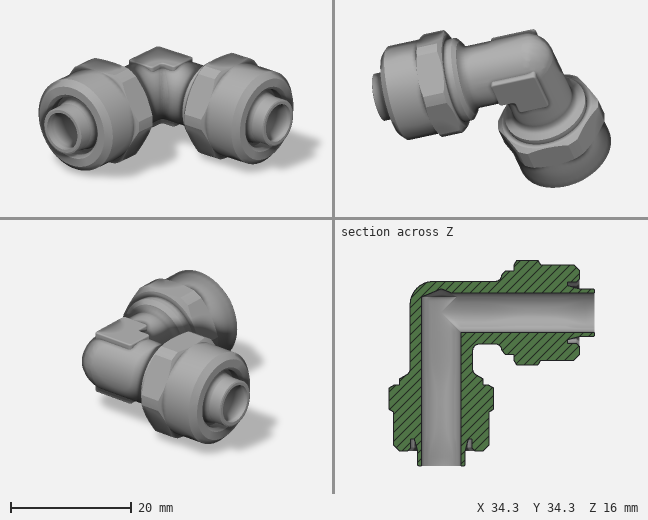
import cadquery as cq
import math


NUT_START = 12.0
HEX_END = 16.5
NUT_END = 23.0
ARM_LENGTH = 25.5

PIPE_R = 10.5 / 2
COLLAR_R = 14.0 / 2
NECK_FILLET = 1.0
X_COLLAR_START = 10.0
X_COLLAR_CHAMFER = 0.65
Y_COLLAR_START = 11.0
Y_NECK_CONE_SLOPE = 30.0
OUTER_BEND_R = 4.0
INNER_BEND_R = 1.0

NUT_R = 16.0 / 2
HEX_ACROSS_FLATS = 16.0
HEX_CORNER_R = 17.5 / 2
HEX_CHAMFER_ANGLE = 30.0
HEX_FACE_R = 7.85
NUT_CHAMFER = 1.0
NUT_MOUTH_R = 11.2 / 2
NUT_BORE_R = 10.15 / 2
NUT_MOUTH_CHAMFER = NUT_MOUTH_R - NUT_BORE_R

TAIL_R = 8.0 / 2
TAIL_ROOT_R = 9.1 / 2
TAIL_CONE_LENGTH = 2.0
TAIL_TIP_R = 7.5 / 2
TAIL_TIP_CHAMFER = 0.12
POCKET_FLOOR = NUT_END - TAIL_CONE_LENGTH

BORE_R = 6.5 / 2
DRILL_POINT_ANGLE = 135.0
DRILL_SHOULDER = 2.58

PAD_HALF_WIDTH = 2.6
PAD_REACH = 5.2
PAD_HEIGHT = 5.5
PAD_CORNER_R = 0.5
PAD_EDGE_R = 0.25

MITRE_DIRECTION = cq.Vector(1, -1, 0)


def revolve_about_x(profile):
    return profile.close().revolve(360, (0, 0, 0), (1, 0, 0))


def mirror_across_bend(shape):
    """Reflect a +X arm shape into the matching -Y arm shape."""
    return shape.mirror("XZ").rotate((0, 0, 0), (0, 0, 1), -90)


def pipe_profile(neck_start):
    """Start of a pipe outline, drawn from the axis up to the start of the neck fillet."""
    return (
        cq.Workplane("XZ")
        .moveTo(-PIPE_R, 0)
        .lineTo(-PIPE_R, PIPE_R)
        .lineTo(neck_start, PIPE_R)
    )


def neck_point(neck_start, turn):
    """Point on the neck fillet after the outline has turned by the given angle in degrees."""
    angle = math.radians(turn)
    return (
        neck_start + NECK_FILLET * math.sin(angle),
        PIPE_R + NECK_FILLET * (1 - math.cos(angle)),
    )


def finish_collar(profile, collar_start):
    """Close a pipe outline with the collar and revolve it."""
    return revolve_about_x(
        profile
        .lineTo(collar_start, COLLAR_R)
        .lineTo(NUT_START, COLLAR_R)
        .lineTo(NUT_START, 0)
    )


def x_arm_pipe():
    """Pipe whose quarter-round neck meets a chamfered collar."""
    neck_start = X_COLLAR_START - NECK_FILLET
    profile = pipe_profile(neck_start).threePointArc(
        neck_point(neck_start, 45), neck_point(neck_start, 90)
    )
    return finish_collar(profile, X_COLLAR_START + X_COLLAR_CHAMFER)


def y_arm_pipe():
    """Pipe whose neck runs tangentially into a cone; built along +X, then mirrored."""
    turn = 90 - Y_NECK_CONE_SLOPE
    fillet_length, fillet_end_r = neck_point(0, turn)
    cone_length = (COLLAR_R - fillet_end_r) * math.tan(math.radians(Y_NECK_CONE_SLOPE))
    neck_start = Y_COLLAR_START - cone_length - fillet_length
    profile = pipe_profile(neck_start).threePointArc(
        neck_point(neck_start, turn / 2), neck_point(neck_start, turn)
    )
    return mirror_across_bend(mitre(finish_collar(profile, Y_COLLAR_START)))


def mitre(pipe):
    """Cut a +X pipe along the vertical diagonal plane y = -x."""
    size = NUT_START
    keep = (
        cq.Workplane("XY")
        .polyline([(-size, size), (size, size), (size, -size)])
        .close()
        .extrude(size, both=True)
    )
    return pipe.intersect(keep)


def hexagon():
    slope = math.tan(math.radians(HEX_CHAMFER_ANGLE))
    start_chamfer = (HEX_CORNER_R - HEX_FACE_R) * slope
    end_chamfer = (HEX_CORNER_R - NUT_R) * slope
    envelope = revolve_about_x(
        cq.Workplane("XZ")
        .moveTo(NUT_START, 0)
        .lineTo(NUT_START, HEX_FACE_R)
        .lineTo(NUT_START + start_chamfer, HEX_CORNER_R)
        .lineTo(HEX_END - end_chamfer, HEX_CORNER_R)
        .lineTo(HEX_END, NUT_R)
        .lineTo(HEX_END, 0)
    )
    corner_diameter = HEX_ACROSS_FLATS / math.cos(math.pi / 6)
    prism = (
        cq.Workplane("YZ", origin=(NUT_START, 0, 0))
        .polygon(6, corner_diameter)
        .extrude(HEX_END - NUT_START)
    )
    return prism.intersect(envelope)


def nut_barrel_and_tail():
    return revolve_about_x(
        cq.Workplane("XZ")
        .moveTo(HEX_END, 0)
        .lineTo(HEX_END, NUT_R)
        .lineTo(NUT_END - NUT_CHAMFER, NUT_R)
        .lineTo(NUT_END, NUT_R - NUT_CHAMFER)
        .lineTo(NUT_END, NUT_MOUTH_R)
        .lineTo(NUT_END - NUT_MOUTH_CHAMFER, NUT_BORE_R)
        .lineTo(POCKET_FLOOR, NUT_BORE_R)
        .lineTo(POCKET_FLOOR, TAIL_ROOT_R)
        .lineTo(NUT_END, TAIL_R)
        .lineTo(ARM_LENGTH - TAIL_TIP_CHAMFER, TAIL_R)
        .lineTo(ARM_LENGTH, TAIL_TIP_R)
        .lineTo(ARM_LENGTH, 0)
    )


def pad_prism():
    """L-shaped prism through the elbow whose two ends form the pads."""
    near = PAD_HALF_WIDTH
    far = PAD_REACH
    return (
        cq.Workplane("XY")
        .polyline([(-near, near), (far, near), (far, -near), (near, -near), (near, -far), (-near, -far)])
        .close()
        .extrude(PAD_HEIGHT, both=True)
        .edges("|Z")
        .fillet(PAD_CORNER_R)
        .faces("<Z or >Z")
        .edges()
        .fillet(PAD_EDGE_R)
    )


def bend_edges(body, outer):
    """Mitre edges on the outside or the inside of the bend."""
    def on_bend(edge):
        middle = edge.positionAt(0.5)
        on_mitre = abs(middle.x + middle.y) < 1e-3 and edge.geomType() == "ELLIPSE"
        return on_mitre and (middle.dot(MITRE_DIRECTION) < 0) == outer
    return body.newObject([edge for edge in body.edges().vals() if on_bend(edge)])


def elbow_body():
    body = mitre(x_arm_pipe()).union(y_arm_pipe()).union(pad_prism())
    body = bend_edges(body, outer=True).fillet(OUTER_BEND_R)
    return bend_edges(body, outer=False).fillet(INNER_BEND_R)


def drilled_bore():
    """Bore up the -Y arm, closed by the cone of the drill point."""
    point_length = BORE_R / math.tan(math.radians(DRILL_POINT_ANGLE / 2))
    return (
        cq.Workplane("XY")
        .moveTo(0, -ARM_LENGTH)
        .lineTo(BORE_R, -ARM_LENGTH)
        .lineTo(BORE_R, DRILL_SHOULDER)
        .lineTo(0, DRILL_SHOULDER + point_length)
        .close()
        .revolve(360, (0, 0, 0), (0, 1, 0))
    )


def cross_bore():
    """Bore along the +X arm, ending on the axis of the other bore."""
    return cq.Workplane("YZ").circle(BORE_R).extrude(ARM_LENGTH)


nut_and_tail = hexagon().union(nut_barrel_and_tail())
result = (
    elbow_body()
    .union(nut_and_tail)
    .union(mirror_across_bend(nut_and_tail))
    .cut(drilled_bore())
    .cut(cross_bore())
)